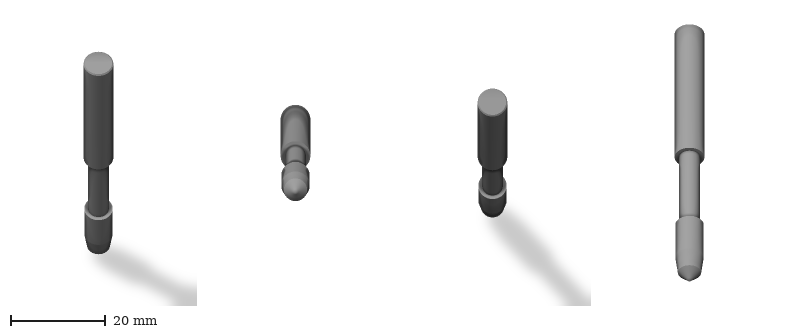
import cadquery as cq

total_length = 68.3
barrel_length = 34.15
barrel_bottom = total_length - barrel_length

barrel_radius = 3.15
barrel_chamfer = 0.3

shaft_radius = 2.2
head_radius = 3.0
head_top = 15.6
taper_top = 6.6
point_radius = 2.45
point_height = point_radius


def make_barrel():
    """Plain round barrel whose closed upper end has a small chamfer."""
    barrel = cq.Workplane("XY", origin=(0, 0, barrel_bottom)).circle(barrel_radius).extrude(barrel_length)
    return barrel.faces(">Z").chamfer(barrel_chamfer)


def make_plunger():
    """Turned plunger whose shaft ends against the lower face of the barrel."""
    return (
        cq.Workplane("XZ")
        .moveTo(0, 0)
        .lineTo(point_radius, point_height)
        .lineTo(head_radius, taper_top)
        .lineTo(head_radius, head_top)
        .lineTo(shaft_radius, head_top)
        .lineTo(shaft_radius, barrel_bottom)
        .lineTo(0, barrel_bottom)
        .close()
        .revolve(360, (0, 0), (0, 1))
    )


barrel = make_barrel()
plunger = make_plunger()
result = cq.Compound.makeCompound([barrel.val(), plunger.val()])